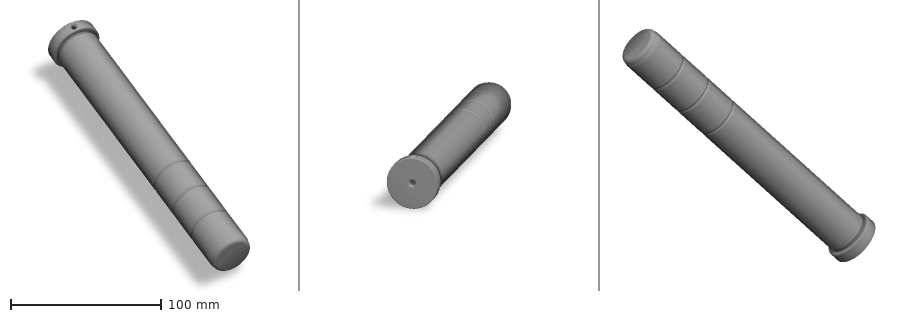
import cadquery as cq

length = 220.0
head_diameter = 35.0
head_thickness = 8.4
head_chamfer = 0.5
body_diameter = 30.0

relief_depth = 0.7
relief_floor_end = 9.7
relief_end = 10.5

groove_count = 3
first_groove_x = 140.0
groove_pitch = 25.0
groove_width = 2.9
groove_depth = 0.7

taper_start = 214.7
taper_drop = 0.7
tip_radius = 2.6

passage_diameter = 3.0
passage_mouth_diameter = 5.7
passage_x = head_thickness / 2
axial_passage_depth = head_thickness

head_radius = head_diameter / 2
body_radius = body_diameter / 2


def make_pin():
    """Revolve the half profile of the head, body and tip about X."""
    relief_radius = body_radius - relief_depth
    taper_radius = body_radius - taper_drop
    blank = (
        cq.Workplane("XY")
        .lineTo(0, head_radius - head_chamfer)
        .lineTo(head_chamfer, head_radius)
        .lineTo(head_thickness - head_chamfer, head_radius)
        .lineTo(head_thickness, head_radius - head_chamfer)
        .lineTo(head_thickness, relief_radius)
        .lineTo(relief_floor_end, relief_radius)
        .lineTo(relief_end, body_radius)
        .lineTo(taper_start, body_radius)
        .lineTo(length - tip_radius, taper_radius)
        .radiusArc((length, taper_radius - tip_radius), tip_radius)
        .lineTo(length, 0)
        .close()
    )
    return blank.revolve(360, (0, 0, 0), (1, 0, 0))


def make_groove(center_x):
    """V-shaped ring cut into the body surface."""
    half_width = groove_width / 2
    ring = (
        cq.Workplane("XY")
        .moveTo(center_x - half_width, body_radius)
        .lineTo(center_x, body_radius - groove_depth)
        .lineTo(center_x + half_width, body_radius)
        .lineTo(center_x + half_width, head_radius)
        .lineTo(center_x - half_width, head_radius)
        .close()
    )
    return ring.revolve(360, (0, 0, 0), (1, 0, 0))


def make_passage(mouth, direction, depth):
    """Hole with a 90 degree countersink at its mouth and a conical drill point."""
    start = cq.Vector(*mouth)
    inward = cq.Vector(*direction)
    mouth_radius = passage_mouth_diameter / 2
    bore_radius = passage_diameter / 2
    bore = cq.Solid.makeCylinder(bore_radius, depth, start, inward)
    countersink = cq.Solid.makeCone(
        mouth_radius, bore_radius, mouth_radius - bore_radius, start, inward
    )
    drill_point = cq.Solid.makeCone(
        bore_radius, 0, bore_radius, start + inward * depth, inward
    )
    return cq.Workplane(bore.fuse(countersink, drill_point))


result = make_pin()

for index in range(groove_count):
    result = result.cut(make_groove(first_groove_x + index * groove_pitch))

result = result.cut(make_passage((0, 0, 0), (1, 0, 0), axial_passage_depth))
result = result.cut(make_passage((passage_x, 0, head_radius), (0, 0, -1), head_radius))